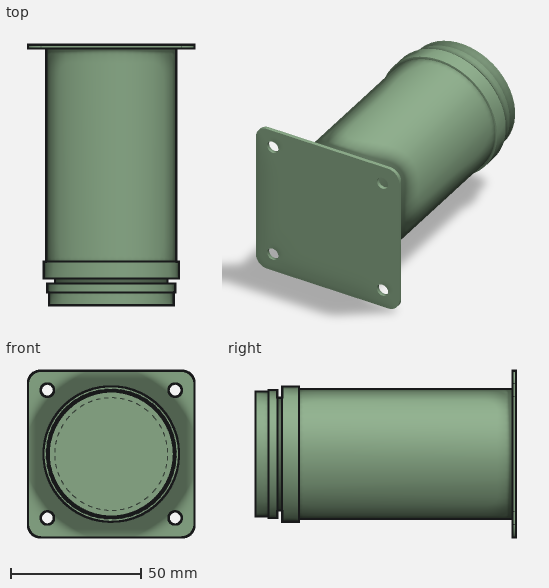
import cadquery as cq

FLANGE_SIDE = 64.0
FLANGE_THICKNESS = 1.5
FLANGE_CORNER_RADIUS = 5.0
MOUNT_HOLE_DIAMETER = 5.0
MOUNT_HOLE_SPACING = 49.0

TUBE_DIAMETER = 50.0
COLLAR_DIAMETER = 52.0
GROOVE_DIAMETER = 43.3
RIDGE_DIAMETER = 49.2
TIP_DIAMETER = 48.0

TUBE_END = 83.2
COLLAR_END = 89.7
GROOVE_END = 91.5
RIDGE_END = 95.0
TOTAL_LENGTH = 100.0

BODY_SECTIONS = [
    (TUBE_DIAMETER, TUBE_END),
    (COLLAR_DIAMETER, COLLAR_END),
    (GROOVE_DIAMETER, GROOVE_END),
    (RIDGE_DIAMETER, RIDGE_END),
    (TIP_DIAMETER, TOTAL_LENGTH),
]


def make_flange():
    """Rounded square plate with a mounting hole near each corner."""
    plate = cq.Workplane("XZ").rect(FLANGE_SIDE, FLANGE_SIDE).extrude(FLANGE_THICKNESS)
    plate = plate.edges("|Y").fillet(FLANGE_CORNER_RADIUS)
    holes = (
        cq.Workplane("XZ")
        .rect(MOUNT_HOLE_SPACING, MOUNT_HOLE_SPACING, forConstruction=True)
        .vertices()
        .circle(MOUNT_HOLE_DIAMETER / 2)
        .extrude(FLANGE_THICKNESS)
    )
    return plate.cut(holes)


def add_body(part):
    """Stack the solid cylindrical sections end to end in front of the flange."""
    section_start = FLANGE_THICKNESS
    for diameter, section_end in BODY_SECTIONS:
        section = (
            cq.Workplane("XZ", origin=(0, -section_start, 0))
            .circle(diameter / 2)
            .extrude(section_end - section_start)
        )
        part = part.union(section)
        section_start = section_end
    return part


result = add_body(make_flange())